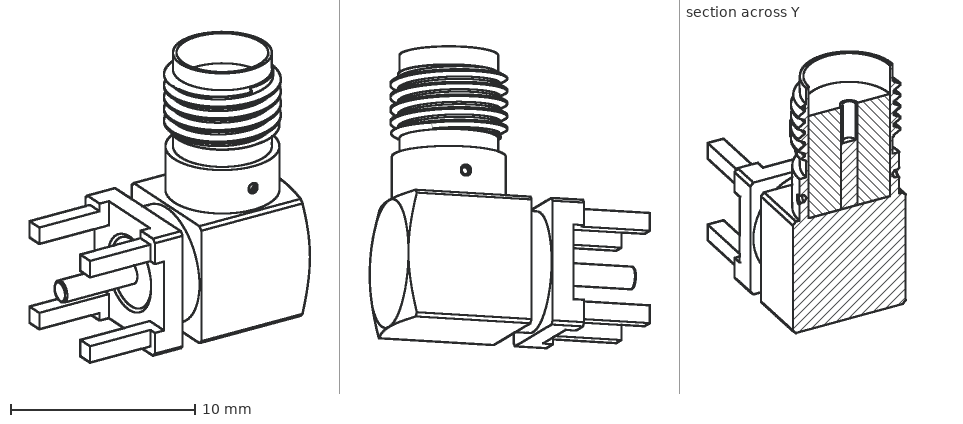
import cadquery as cq
import math


block_size = 7.0
block_back = 3.4
edge_chamfer = 0.2
rear_chamfer_angle = 20
neck_length = 1.2
neck_radius = 3.31
plate_thickness = 1.2
pad_height = 0.6
pad_size = 1.45
leg_size = 0.99
total_depth = 13.9

total_height = 15.2
collar_height = 2.6
collar_radius = 3.1
relief_height = 1.02
thread_length = 3.57
sleeve_radius = 2.69
bore_radius = 2.5
socket_depth = 1.8

thread_pitch = 0.7
thread_major_radius = 3.18
thread_root_radius = 2.77
thread_crest_width = 0.09
thread_half_angle = 30
thread_lead_angle = 30
thread_phase_drop = 0.73
ridge_embed = 0.05

dimple_mouth_radius = 0.3
dimple_radius = 0.21
dimple_height = 1.29
dimple_depth = 0.3
dimple_tip_depth = 0.14

contact_radius = 0.5
contact_bore_radius = 0.38
contact_bore_depth = 2.28
pin_radius = 0.62
pin_chamfer = 0.09
lower_insulator_radius = 2.0
lower_bore_flare = 0.2
lower_bore_recess = 0.12

half_block = block_size / 2
block_front = block_back - block_size
plate_back = block_front - neck_length
plate_front = plate_back - plate_thickness
pad_front = plate_front - pad_height
leg_tip = block_back - total_depth
barrel_top = total_height - half_block
collar_top = half_block + collar_height
thread_bottom = collar_top + relief_height
thread_top = thread_bottom + thread_length
insulator_top = barrel_top - socket_depth
pad_center = half_block - pad_size / 2
leg_center = half_block - pad_size + leg_size / 2


def along_minus_y(start):
    """Workplane at Y = start whose extrusions run toward -Y, with local axes X and Z."""
    return cq.Workplane("XZ", origin=(0, start, 0))


def cylinder_z(radius, bottom, top):
    return cq.Workplane("XY").workplane(offset=bottom).circle(radius).extrude(top - bottom)


def cylinder_y(radius, start, end):
    return along_minus_y(start).circle(radius).extrude(start - end)


def chamfered_square(start, end):
    """Square bar along Y with chamfered long edges."""
    bar = along_minus_y(start).rect(block_size, block_size).extrude(start - end)
    return bar.edges("|Y").chamfer(edge_chamfer)


def block():
    """Cube whose rear corners are turned off by a cone about the Y axis."""
    reach = block_size
    base_radius = half_block + reach / math.tan(math.radians(rear_chamfer_angle))
    cone = cq.Workplane(cq.Solid.makeCone(
        half_block, base_radius, reach, cq.Vector(0, block_back, 0), cq.Vector(0, -1, 0)
    ))
    return chamfered_square(block_back, block_front).intersect(cone)


def leg_base():
    """Neck and flange plate, with a pad and a leg on each corner."""
    base = cylinder_y(neck_radius, block_front, plate_back)
    base = base.union(chamfered_square(plate_back, plate_front))
    pads = (
        along_minus_y(plate_front)
        .rect(2 * pad_center, 2 * pad_center, forConstruction=True)
        .vertices()
        .rect(pad_size, pad_size)
        .extrude(pad_height)
    )
    pads = pads.intersect(chamfered_square(plate_front, pad_front))
    legs = (
        along_minus_y(pad_front)
        .rect(2 * leg_center, 2 * leg_center, forConstruction=True)
        .vertices()
        .rect(leg_size, leg_size)
        .extrude(pad_front - leg_tip)
    )
    return base.union(pads).union(legs)


def thread_ridge():
    """Right-hand helical ridge that runs past both ends of the thread."""
    turns = math.ceil(thread_length / thread_pitch) + 2
    start = thread_top - thread_phase_drop - (turns - 1) * thread_pitch
    foot_radius = thread_root_radius - ridge_embed
    half_crest = thread_crest_width / 2
    flank_run = (thread_major_radius - foot_radius) * math.tan(math.radians(thread_half_angle))
    half_foot = half_crest + flank_run
    path = cq.Wire.makeHelix(thread_pitch, turns * thread_pitch, thread_root_radius)
    profile = cq.Workplane("XZ").polyline([
        (foot_radius, -half_foot),
        (thread_major_radius, -half_crest),
        (thread_major_radius, half_crest),
        (foot_radius, half_foot),
    ]).close()
    return profile.sweep(cq.Workplane(path), isFrenet=True).translate((0, 0, start))


def thread():
    """Threaded length of the barrel, bevelled at both ends."""
    core = cylinder_z(thread_root_radius, thread_bottom, thread_top)
    outer_radius = thread_major_radius + ridge_embed
    bevel = (outer_radius - sleeve_radius) * math.tan(math.radians(thread_lead_angle))
    envelope = (
        cq.Workplane("XZ")
        .polyline([
            (0, thread_bottom),
            (sleeve_radius, thread_bottom),
            (outer_radius, thread_bottom + bevel),
            (outer_radius, thread_top - bevel),
            (sleeve_radius, thread_top),
            (0, thread_top),
        ])
        .close()
        .revolve(360, (0, 0, 0), (0, 1, 0))
    )
    return core.intersect(envelope).union(thread_ridge().intersect(envelope))


def dimple():
    """Countersunk hole with a conical tip, drilled into the +X side of the collar."""
    mouth = dimple_mouth_radius - dimple_radius
    return (
        cq.Workplane("XY")
        .polyline([
            (collar_radius - dimple_depth - dimple_tip_depth, 0),
            (collar_radius - dimple_depth, dimple_radius),
            (collar_radius - mouth, dimple_radius),
            (collar_radius + mouth, dimple_mouth_radius + mouth),
            (collar_radius + mouth, 0),
        ])
        .close()
        .revolve(360, (0, 0, 0), (1, 0, 0))
        .translate((0, 0, half_block + dimple_height))
    )


def make_housing():
    collar = cylinder_z(collar_radius, half_block, collar_top)
    sleeve = cylinder_z(sleeve_radius, collar_top, barrel_top)
    body = block().union(leg_base()).union(collar).union(sleeve).union(thread())
    for turn in (0, 180):
        body = body.cut(dimple().rotate((0, 0, 0), (0, 0, 1), turn))
    body = body.cut(cylinder_z(bore_radius, half_block, barrel_top))
    body = body.cut(cylinder_y(lower_insulator_radius, block_front, plate_front))
    countersink = cq.Workplane(cq.Solid.makeCone(
        lower_insulator_radius + lower_bore_flare, lower_insulator_radius, lower_bore_recess,
        cq.Vector(0, plate_front, 0), cq.Vector(0, 1, 0),
    ))
    return body.cut(countersink)


def make_upper_insulator():
    """Sleeve that fills the bore around the contact."""
    sleeve = cylinder_z(bore_radius, half_block, insulator_top)
    return sleeve.cut(cylinder_z(contact_radius, half_block, insulator_top))


def make_contact():
    """Socket contact, flush with the upper insulator."""
    rod = cylinder_z(contact_radius, half_block, insulator_top)
    return rod.cut(cylinder_z(contact_bore_radius, insulator_top - contact_bore_depth, insulator_top))


def make_lower_insulator():
    """Sleeve that fills the flange bore below its countersink."""
    front = plate_front + lower_bore_recess
    sleeve = cylinder_y(lower_insulator_radius, block_front, front)
    return sleeve.cut(cylinder_y(pin_radius, block_front, front))


def make_pin():
    """Solder pin that ends level with the legs."""
    return cylinder_y(pin_radius, block_front, leg_tip).faces("<Y").chamfer(pin_chamfer)


housing = make_housing()
upper_insulator = make_upper_insulator()
contact = make_contact()
lower_insulator = make_lower_insulator()
pin = make_pin()

result = cq.Compound.makeCompound([
    housing.solids().val(),
    upper_insulator.solids().val(),
    contact.solids().val(),
    lower_insulator.solids().val(),
    pin.solids().val(),
])